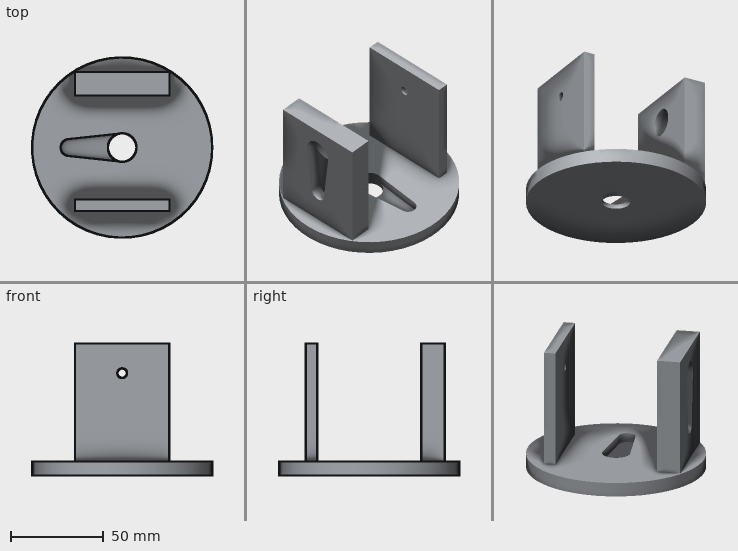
import cadquery as cq
import math

base_diameter = 97.0
base_thickness = 7.7
bore_diameter = 15.2

base_slot_depth = 5.0
plate_slot_depth = 6.4
slot_length = 33.1
slot_end_radius = 4.6

plate_width = 50.8
plate_height = 63.4
plate_gap = 55.85
thick_plate_thickness = 12.7
thin_plate_thickness = 6.3

hole_height = 55.1
thin_plate_hole_diameter = 5.0


def upright_plate(side, thickness, hole_diameter):
    """Plate with a cross hole; side is +1 or -1 along Y."""
    center_y = side * (plate_gap + thickness) / 2
    plate = (
        cq.Workplane("XY", origin=(0, center_y, base_thickness))
        .rect(plate_width, thickness)
        .extrude(plate_height)
    )
    hole = (
        cq.Workplane("XZ", origin=(0, center_y, hole_height))
        .circle(hole_diameter / 2)
        .extrude(thickness, both=True)
        .clean()
    )
    return plate.cut(hole)


def tapered_slot(plane, depth):
    """Slot along the plane's -X, cut below it, with sides tangent to the bore and to the round end."""
    bore_radius = bore_diameter / 2
    end_center_x = slot_end_radius - slot_length
    taper = math.asin((bore_radius - slot_end_radius) / -end_center_x)
    bore_x = -bore_radius * math.sin(taper)
    bore_y = bore_radius * math.cos(taper)
    end_x = end_center_x - slot_end_radius * math.sin(taper)
    end_y = slot_end_radius * math.cos(taper)
    return (
        cq.Workplane(plane)
        .moveTo(bore_x, bore_y)
        .lineTo(end_x, end_y)
        .threePointArc((-slot_length, 0), (end_x, -end_y))
        .lineTo(bore_x, -bore_y)
        .threePointArc((bore_radius, 0), (bore_x, bore_y))
        .close()
        .extrude(-depth)
    )


base = cq.Workplane("XY").circle(base_diameter / 2).extrude(base_thickness)
bore = cq.Workplane("XY").circle(bore_diameter / 2).extrude(base_thickness)

base_top = cq.Plane(origin=(0, 0, base_thickness))
thick_plate_back = cq.Plane(
    origin=(0, plate_gap / 2 + thick_plate_thickness, hole_height),
    xDir=(0, 0, 1),
    normal=(0, 1, 0),
)

slotted_base = base.cut(bore).cut(tapered_slot(base_top, base_slot_depth))
thick_plate = upright_plate(1, thick_plate_thickness, bore_diameter).cut(
    tapered_slot(thick_plate_back, plate_slot_depth)
)
thin_plate = upright_plate(-1, thin_plate_thickness, thin_plate_hole_diameter)

result = slotted_base.union(thick_plate).union(thin_plate)